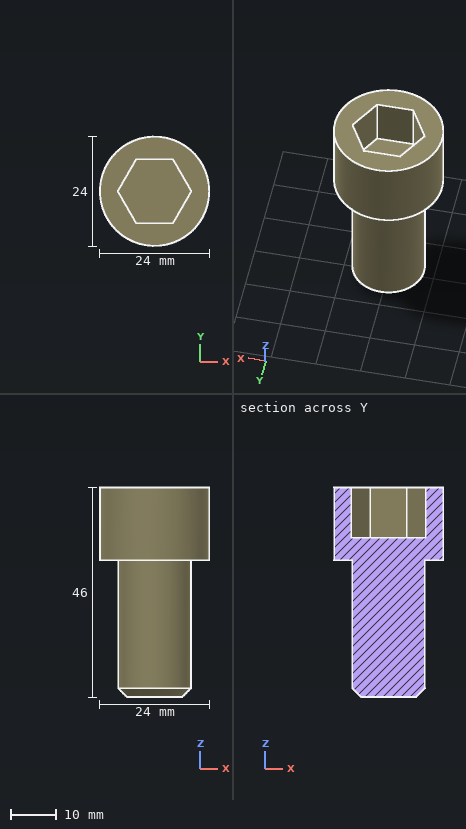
import cadquery as cq
import math

total_length = 46.0
head_diameter = 24.0
shank_diameter = 16.0
head_height = shank_diameter
shank_length = total_length - head_height
tip_chamfer = 2.0

socket_across_flats = 14.0
socket_across_corners = socket_across_flats / math.cos(math.radians(30))
socket_depth = 11.05


def make_shank():
    shank = cq.Workplane("XY").circle(shank_diameter / 2).extrude(shank_length)
    return shank.faces("<Z").chamfer(tip_chamfer)


def make_head():
    base = cq.Workplane("XY").workplane(offset=shank_length)
    return base.circle(head_diameter / 2).extrude(head_height)


def make_socket():
    top = cq.Workplane("XY").workplane(offset=total_length)
    return top.polygon(6, socket_across_corners).extrude(-socket_depth)


result = make_shank().union(make_head()).cut(make_socket())